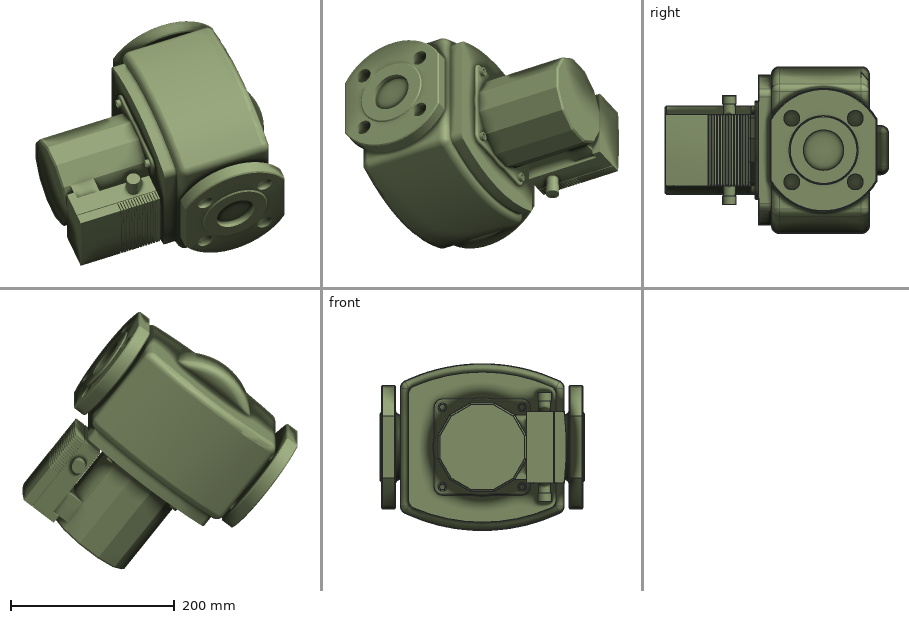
import cadquery as cq
import math


SHELL_HALF_WIDTH = 100.2
SHELL_HEIGHT = 204.0
SHELL_HALF_HEIGHT = SHELL_HEIGHT / 2
SHELL_CROWN_RADIUS = 221.7
SHELL_BACK_Y = 56.0
SHELL_FRONT_Y = -63.8
SHELL_ROUND = 10.0
PANEL_INSET = 10.0
PANEL_FRONT_Y = -79.5

VOLUTE_RADIUS = 79.7
VOLUTE_HALF_HEIGHT = 30.0
VOLUTE_ROUND = 10.0
PIPE_RADIUS = 39.5
PIPE_ROUND = 5.7
PIPE_LENGTH = 250.0
PIPE_HALF_LENGTH = PIPE_LENGTH / 2
RAISED_FACE_RADIUS = 42.2
RAISED_FACE_HEIGHT = 1.6
FLANGE_RADIUS = 75.5
FLANGE_THICKNESS = 17.2
FLANGE_HALF_WIDTH = 65.5
EDGE_CHAMFER = 1.5
BORE_RADIUS = 24.6
BORE_DEPTH = 8.8
BOLT_HOLE_RADIUS = 9.5
BOLT_HOLE_OFFSET = 39.0

PLATE_SIDE = 117.7
PLATE_CORNER_RADIUS = 10.5
PLATE_DISC_RADIUS = 60.2
PLATE_THICKNESS = 4.7
PLATE_ROUND = 2.2
MOTOR_SIDES = 12
MOTOR_ACROSS_FLATS = 108.0
MOTOR_APOTHEM = MOTOR_ACROSS_FLATS / 2
MOTOR_END_Y = -194.0
MOTOR_CHAMFER = 2.2
NECK_BACK_Y = -153.3
NECK_FRONT_Y = -183.5

SCREW_OFFSET = 48.7
SCREW_HEAD_RADIUS = 5.2
SCREW_HEAD_HEIGHT = 4.7
SOCKET_WIDTH = 7.7
SOCKET_DEPTH = 2.7

BOX_INNER_X = 63.0
BOX_SEAM_X = 87.0
BOX_SEAM_WIDTH = 1.0
BOX_SEAM_DEPTH = 1.0
BOX_EDGE_X = 100.5
BOX_CREST_X = 102.7
BOX_HALF_HEIGHT = 43.8
BOX_BACK_Y = -89.5
BOX_FRONT_Y = -193.5
FIN_GROOVE_COUNT = 15
FIN_GROOVE_WIDTH = 1.0
FIRST_TO_LAST_GROOVE = 48.7
FIN_GROOVE_PITCH = FIRST_TO_LAST_GROOVE / (FIN_GROOVE_COUNT - 1)
FIRST_GROOVE_INSET = 2.5

GLAND_X = 76.5
GLAND_Y = -115.2
GLAND_STEM_RADIUS = 7.5
GLAND_STEM_HEIGHT = 12.3
GLAND_HEAD_RADIUS = 8.2
GLAND_HEAD_HEIGHT = 10.7

PLATE_FRONT_Y = PANEL_FRONT_Y - PLATE_THICKNESS
MOTOR_CORNER_RADIUS = MOTOR_APOTHEM / math.cos(math.pi / MOTOR_SIDES)
MOTOR_DIAGONAL_EDGE = MOTOR_CORNER_RADIUS * math.cos(math.pi / 4)


def block(x_range, y_range, z_range):
    """Box between the given limits along each axis."""
    size = [high - low for low, high in (x_range, y_range, z_range)]
    corner = (x_range[0], y_range[0], z_range[0])
    return cq.Workplane("XY").box(*size, centered=False).translate(corner)


def front_sketch(y):
    """Sketch plane at the given Y that extrudes toward -Y, with local axes X and Z."""
    return cq.Workplane("XZ", origin=(0, y, 0))


def crowned_prism(inset, back_y, front_y):
    """Prism with straight sides and arched top and bottom, all moved in by the inset."""
    half_width = SHELL_HALF_WIDTH - inset
    half_height = SHELL_HALF_HEIGHT - inset
    crown_radius = SHELL_CROWN_RADIUS - inset
    crown_drop = crown_radius - math.sqrt(crown_radius**2 - half_width**2)
    corner_z = half_height - crown_drop
    prism = (
        front_sketch(back_y)
        .moveTo(-half_width, -corner_z)
        .lineTo(-half_width, corner_z)
        .threePointArc((0, half_height), (half_width, corner_z))
        .lineTo(half_width, -corner_z)
        .threePointArc((0, -half_height), (-half_width, -corner_z))
        .close()
        .extrude(back_y - front_y)
    )
    return prism.edges("|Y").fillet(SHELL_ROUND)


def flange_neck_fillet(back_x):
    """Concave ring that blends the pipe into the back of the right flange."""
    outer_radius = PIPE_RADIUS + PIPE_ROUND
    arc_inset = PIPE_ROUND * (1 - math.cos(math.pi / 4))
    return (
        cq.Workplane("XY")
        .moveTo(back_x - PIPE_ROUND, 0)
        .lineTo(back_x - PIPE_ROUND, PIPE_RADIUS)
        .threePointArc((back_x - arc_inset, PIPE_RADIUS + arc_inset), (back_x, outer_radius))
        .lineTo(back_x, 0)
        .close()
        .revolve(360, (0, 0, 0), (1, 0, 0))
    )


def flange(side):
    """Pipe flange with two flats, bolt holes and a raised face; side is -1 or +1 along X."""
    back_x = PIPE_HALF_LENGTH - RAISED_FACE_HEIGHT - FLANGE_THICKNESS
    disc = cq.Workplane("YZ", origin=(back_x, 0, 0)).circle(FLANGE_RADIUS).extrude(FLANGE_THICKNESS)
    flats = block(
        (back_x, PIPE_HALF_LENGTH),
        (-FLANGE_HALF_WIDTH, FLANGE_HALF_WIDTH),
        (-FLANGE_RADIUS, FLANGE_RADIUS),
    )
    bolt_holes = (
        cq.Workplane("YZ", origin=(back_x, 0, 0))
        .rect(2 * BOLT_HOLE_OFFSET, 2 * BOLT_HOLE_OFFSET, forConstruction=True)
        .vertices()
        .circle(BOLT_HOLE_RADIUS)
        .extrude(FLANGE_THICKNESS)
    )
    raised_face = (
        cq.Workplane("YZ", origin=(back_x, 0, 0))
        .circle(RAISED_FACE_RADIUS)
        .extrude(FLANGE_THICKNESS + RAISED_FACE_HEIGHT)
        .faces(">X")
        .edges()
        .chamfer(EDGE_CHAMFER)
    )
    plate = disc.intersect(flats).faces("<X or >X").edges().chamfer(EDGE_CHAMFER)
    neck_fillet = flange_neck_fillet(back_x)
    right_flange = plate.cut(bolt_holes).union(raised_face).union(neck_fillet)
    return right_flange if side > 0 else right_flange.mirror("YZ")


def make_pump_body():
    """Volute, pipe and both flanges, with a blind bore in each pipe end."""
    volute = (
        cq.Workplane("XY", origin=(0, 0, -VOLUTE_HALF_HEIGHT))
        .circle(VOLUTE_RADIUS)
        .extrude(2 * VOLUTE_HALF_HEIGHT)
        .edges()
        .fillet(VOLUTE_ROUND)
    )
    motor_side = block(
        (-VOLUTE_RADIUS, VOLUTE_RADIUS),
        (-VOLUTE_RADIUS, SHELL_FRONT_Y),
        (-VOLUTE_HALF_HEIGHT, VOLUTE_HALF_HEIGHT),
    )
    pipe_end = PIPE_HALF_LENGTH - RAISED_FACE_HEIGHT
    pipe = cq.Workplane("YZ", origin=(-pipe_end, 0, 0)).circle(PIPE_RADIUS).extrude(2 * pipe_end)
    body = volute.cut(motor_side).union(pipe)
    for side in (-1, 1):
        body = body.union(flange(side))
    for side in (-1, 1):
        bore = (
            cq.Workplane("YZ", origin=(side * PIPE_HALF_LENGTH, 0, 0))
            .circle(BORE_RADIUS)
            .extrude(-side * BORE_DEPTH)
        )
        body = body.cut(bore)
    return body


def make_insulation(pump):
    """Rounded shell with a front panel, hollowed where the pump body passes through it."""
    shell = crowned_prism(0, SHELL_BACK_Y, SHELL_FRONT_Y)
    shell = shell.faces("<Y or >Y").edges().fillet(SHELL_ROUND)
    panel = crowned_prism(PANEL_INSET, SHELL_FRONT_Y, PANEL_FRONT_Y)
    return shell.union(panel).cut(pump)


def make_motor():
    """Mounting plate, twelve-sided housing and the neck toward the terminal box."""
    plate = (
        front_sketch(PANEL_FRONT_Y)
        .rect(PLATE_SIDE, PLATE_SIDE)
        .extrude(PLATE_THICKNESS)
        .edges("|Y")
        .fillet(PLATE_CORNER_RADIUS)
    )
    disc = front_sketch(PANEL_FRONT_Y).circle(PLATE_DISC_RADIUS).extrude(PLATE_THICKNESS)
    plate = plate.union(disc).faces("<Y or >Y").edges().fillet(PLATE_ROUND)
    half_step = 180 / MOTOR_SIDES
    housing = (
        front_sketch(PLATE_FRONT_Y)
        .transformed(rotate=(0, 0, half_step))
        .polygon(MOTOR_SIDES, 2 * MOTOR_CORNER_RADIUS)
        .extrude(PLATE_FRONT_Y - MOTOR_END_Y)
        .faces("<Y")
        .edges()
        .chamfer(MOTOR_CHAMFER)
    )
    neck = block(
        (0, BOX_INNER_X),
        (NECK_FRONT_Y, NECK_BACK_Y),
        (-MOTOR_DIAGONAL_EDGE, MOTOR_DIAGONAL_EDGE),
    )
    return plate.union(housing).union(neck)


def make_screw(x, z):
    """Socket head resting on the mounting plate."""
    head_end_y = PLATE_FRONT_Y - SCREW_HEAD_HEIGHT
    head = front_sketch(PLATE_FRONT_Y).center(x, z).circle(SCREW_HEAD_RADIUS).extrude(SCREW_HEAD_HEIGHT)
    socket = front_sketch(head_end_y).center(x, z).polygon(6, SOCKET_WIDTH).extrude(-SOCKET_DEPTH)
    return head.cut(socket)


def make_terminal_box():
    """Box with a lip that reaches the motor, a bulged finned cover and a seam groove between them."""
    height_range = (-BOX_HALF_HEIGHT, BOX_HALF_HEIGHT)
    bulged_box = (
        front_sketch(BOX_BACK_Y)
        .moveTo(BOX_INNER_X, -BOX_HALF_HEIGHT)
        .lineTo(BOX_EDGE_X, -BOX_HALF_HEIGHT)
        .threePointArc((BOX_CREST_X, 0), (BOX_EDGE_X, BOX_HALF_HEIGHT))
        .lineTo(BOX_INNER_X, BOX_HALF_HEIGHT)
        .close()
        .extrude(BOX_BACK_Y - BOX_FRONT_Y)
    )
    lip = block((MOTOR_APOTHEM, BOX_INNER_X), (BOX_FRONT_Y, NECK_FRONT_Y), height_range)
    seam_range = (BOX_SEAM_X, BOX_SEAM_X + BOX_SEAM_WIDTH)
    seam_core_height = BOX_HALF_HEIGHT - BOX_SEAM_DEPTH
    seam = block(seam_range, (BOX_FRONT_Y, BOX_BACK_Y), height_range).cut(
        block(
            seam_range,
            (BOX_FRONT_Y + BOX_SEAM_DEPTH, BOX_BACK_Y - BOX_SEAM_DEPTH),
            (-seam_core_height, seam_core_height),
        )
    )
    box = bulged_box.union(lip).cut(seam)
    for index in range(FIN_GROOVE_COUNT):
        groove_y = BOX_BACK_Y - FIRST_GROOVE_INSET - index * FIN_GROOVE_PITCH
        groove_range = (groove_y - FIN_GROOVE_WIDTH / 2, groove_y + FIN_GROOVE_WIDTH / 2)
        box = box.cut(block((BOX_SEAM_X + BOX_SEAM_WIDTH, BOX_CREST_X), groove_range, height_range))
    return box


def make_gland(side):
    """Stepped round cable gland on the top (+1) or bottom (-1) of the terminal box."""
    stem_start = cq.Workplane("XY", origin=(GLAND_X, GLAND_Y, side * BOX_HALF_HEIGHT))
    stem = stem_start.circle(GLAND_STEM_RADIUS).extrude(side * GLAND_STEM_HEIGHT)
    head = (
        stem_start.workplane(offset=side * GLAND_STEM_HEIGHT)
        .circle(GLAND_HEAD_RADIUS)
        .extrude(side * GLAND_HEAD_HEIGHT)
    )
    return stem.union(head)


pump_body = make_pump_body()
insulation = make_insulation(pump_body)
motor = make_motor()
screws = [make_screw(x, z) for x in (-SCREW_OFFSET, SCREW_OFFSET) for z in (-SCREW_OFFSET, SCREW_OFFSET)]
terminal_box = make_terminal_box()
glands = [make_gland(side) for side in (-1, 1)]

bodies = [pump_body, insulation, motor, *screws, terminal_box, *glands]
result = cq.Compound.makeCompound([body.solids().val() for body in bodies])